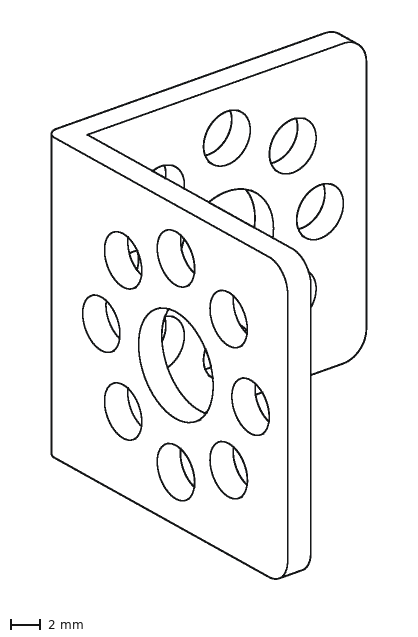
import cadquery as cq

leg_length = 26.0
height = 24.0
thickness = 2.0
bend_radius = 1.0
corner_radius = 2.0
center_bore_diameter = 8.0
small_hole_diameter = 4.0
hole_circle_radius = 8.0
small_hole_count = 8

pattern_from_edge = height / 2
pattern_from_bend = leg_length - pattern_from_edge


def make_leg():
    """Plate along X with its outer face on Y = 0 and rounded free corners."""
    plate = cq.Workplane("XY").box(leg_length, thickness, height, centered=False)
    return plate.edges("|Y and >X").fillet(corner_radius)


def make_hole_cutter():
    """Central bore and ring of holes, running through the leg along Y."""
    pattern = cq.Workplane("XZ").center(pattern_from_bend, pattern_from_edge)
    bore = pattern.circle(center_bore_diameter / 2).extrude(-thickness)
    ring = (
        pattern.polarArray(hole_circle_radius, 0, 360, small_hole_count)
        .circle(small_hole_diameter / 2)
        .extrude(-thickness)
    )
    return bore.union(ring)


def swap_x_and_y(body):
    """Turn a symmetric X leg feature into the matching Y leg feature."""
    return body.mirror("XZ").rotate((0, 0, 0), (0, 0, 1), 90)


x_leg = make_leg()
hole_cutter = make_hole_cutter()
bracket = x_leg.union(swap_x_and_y(x_leg))
bracket = bracket.edges("|Z and <X and <Y").fillet(bend_radius)
result = bracket.cut(hole_cutter).cut(swap_x_and_y(hole_cutter))